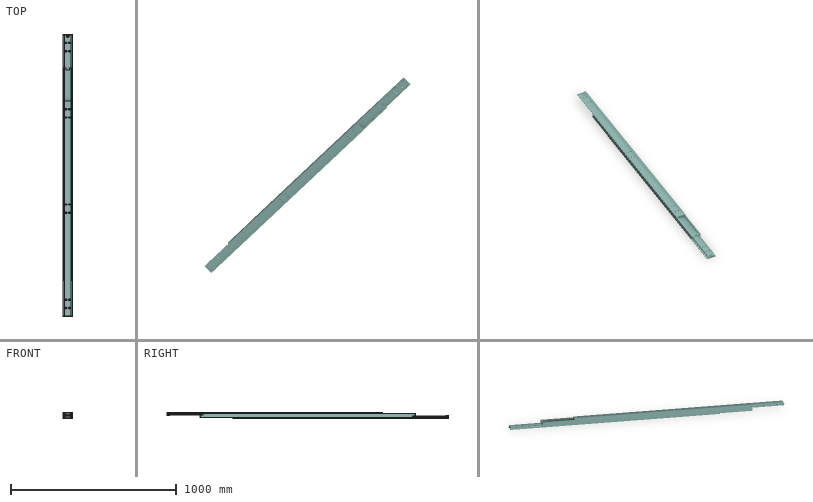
import cadquery as cq

total_height = 34.0
mid_height = total_height / 2
slider_start = 200.0
lower_rail_start = 400.0

rail_length = 1300.0
rail_width = 60.0
flange_thickness = 3.0
body_width = 40.0
rail_depth = 14.0

hole_spacing = 20.0
hole_diameter = 7.0
countersink_diameter = 8.5
countersink_angle = 45.0
end_hole_inset = 50.0
hole_pair_pitch = 50.0

stop_diameter = 16.0
stop_height = 4.0
stop_bore = 8.0

slider_length = 1300.0
slider_height = 25.0
slider_wall = 7.0
web_thickness = 5.6
notch_width = 20.0
notch_depth = 13.0
step_length = 15.0
step_level = 5.5
slider_bottom = mid_height - slider_height / 2
slider_inner_width = rail_width - 2 * slider_wall

ball_radius = 3.0
ball_level = 9.0
ball_x = (body_width + slider_inner_width) / 4

hole_rows = [
    end_hole_inset,
    end_hole_inset + hole_pair_pitch,
    rail_length / 2 - hole_pair_pitch / 2,
    rail_length / 2 + hole_pair_pitch / 2,
    rail_length - end_hole_inset - hole_pair_pitch,
    rail_length - end_hole_inset,
]
hole_centres = [(side * hole_spacing / 2, y) for side in (-1, 1) for y in hole_rows]


def bar(width, height, length, y_start, z_bottom):
    """A rectangular bar along +Y, centred on X."""
    block = cq.Workplane("XY").box(width, length, height, centered=(True, False, False))
    return block.translate((0, y_start, z_bottom))


def raceway_pair(z, length):
    """Two round bars along +Y, one on each side, that shape the ball raceways."""
    centres = [(-ball_x, z), (ball_x, z)]
    return cq.Workplane("XZ").pushPoints(centres).circle(ball_radius).extrude(-length)


def mounting_holes():
    """Through holes with a shallow countersink on the outer face."""
    plane = cq.Workplane("XY").pushPoints(hole_centres)
    shafts = plane.circle(hole_diameter / 2).extrude(rail_depth)
    cone_depth = (countersink_diameter - hole_diameter) / 2
    cones = plane.circle(countersink_diameter / 2).extrude(cone_depth, taper=countersink_angle)
    return shafts, cones


def stop_stud():
    """A round stud with a blind bore, flush with the far end of the rail."""
    stud = cq.Workplane("XY", origin=(0, rail_length - stop_diameter / 2, rail_depth))
    return stud.circle(stop_diameter / 2).circle(stop_bore / 2).extrude(stop_height)


def make_rail():
    """A flanged rail with its outer face on Z = 0 and its stop stud at the +Y end."""
    flange = bar(rail_width, flange_thickness, rail_length, 0, 0)
    body = bar(body_width, rail_depth, rail_length, 0, 0)
    rail = flange.union(body).cut(raceway_pair(ball_level, rail_length))
    for cutter in mounting_holes():
        rail = rail.cut(cutter)
    return rail.union(stop_stud())


def make_slider():
    """An H-shaped slider with a notched web and one stepped flange pair at each end."""
    slider = bar(rail_width, slider_height, slider_length, 0, slider_bottom)

    channel_depth = (slider_height - web_thickness) / 2
    for z in (slider_bottom, mid_height + web_thickness / 2):
        slider = slider.cut(bar(slider_inner_width, channel_depth, slider_length, 0, z))

    for z in (ball_level, total_height - ball_level):
        slider = slider.cut(raceway_pair(z, slider_length))

    for y in (0, slider_length - notch_depth):
        slider = slider.cut(bar(notch_width, slider_height, notch_depth, y, slider_bottom))

    step_height = slider_height / 2 - step_level
    steps = [(0, mid_height + step_level), (slider_length - step_length, slider_bottom)]
    for y, z in steps:
        slider = slider.cut(bar(rail_width, step_height, step_length, y, z))
    return slider


rail = make_rail()
lower_rail = rail.translate((0, lower_rail_start, 0))

upper_rail = rail.rotate((0, 0, 0), (1, 0, 0), 180).translate((0, rail_length, total_height))

slider = make_slider().translate((0, slider_start, 0))

result = cq.Compound.makeCompound([lower_rail.val(), slider.val(), upper_rail.val()])